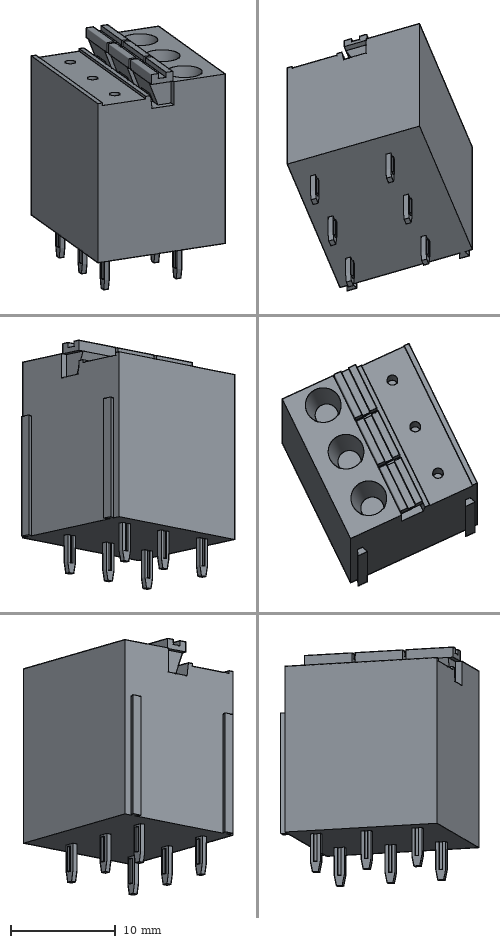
import cadquery as cq

POLE_COUNT = 3

HOUSING_WIDTH = 15.23
HOUSING_DEPTH = 13.4
HOUSING_HEIGHT = 17.15
FRONT_HEIGHT = 16.1
LIP_HEIGHT = 0.26
LIP_WIDTH = 0.5

SLOT_REAR_Y = 8.0
SLOT_FLOOR_Z = 14.8
SLOT_FLOOR_DEPTH = 2.3
SLOT_WALL_LEAN = 0.17

LEVER_TOP_Z = 18.15
LEVER_HEAD_WIDTH = 4.75
LEVER_STEM_WIDTH = 3.74
LEVER_STEM_FOOT_DEPTH = 1.38
LEVER_EDGE_RADIUS = 0.09
GROOVE_WIDTH = 0.8
GROOVE_DEPTH = 0.5
GROOVE_REAR_MARGIN = 0.75
TOE_DEPTH = 1.7
TOE_HEIGHT = 0.85
TOE_WIDTH = 1.95
TOE_OFFSET_X = -0.25

ENTRY_TOP_DIAMETER = 3.4
ENTRY_BOTTOM_DIAMETER = 2.2
ENTRY_DEPTH = 4.5
ENTRY_OFFSET_X = 0.3
ENTRY_TOP_Y = 10.12
ENTRY_BOTTOM_Y = 9.75

TEST_HOLE_DIAMETER = 1.0
TEST_HOLE_DEPTH = 2.0
TEST_HOLE_Y = 2.95

RIB_HEIGHT = 11.7
RIB_PROJECTION = 0.6
RIB_OUTER_WIDTH = 1.0
RIB_ROOT_WIDTH = 0.52
RIB_EDGE_DISTANCE = 1.0

PIN_LENGTH = 3.7
PIN_TAPER_LENGTH = 1.0
PIN_WIDTH = 1.0
PIN_TIP_WIDTH = 0.6
PIN_THICKNESS = 0.5
FRONT_PIN_Y = 1.64
PIN_ROW_SPACING = 7.63
PIN_GROOVE_WIDTH = 0.33
PIN_GROOVE_DEPTH = 0.15
PIN_GROOVE_LENGTH = 2.69
PIN_BEAD_TOP = 0.25

pole_pitch = HOUSING_WIDTH / POLE_COUNT
pole_xs = [(i + 0.5) * pole_pitch for i in range(POLE_COUNT)]
pin_ys = [FRONT_PIN_Y, FRONT_PIN_Y + PIN_ROW_SPACING]


def box(x_min, x_max, y_min, y_max, z_min, z_max):
    size = (x_max - x_min, y_max - y_min, z_max - z_min)
    return cq.Workplane("XY").box(*size, centered=False).translate((x_min, y_min, z_min))


def extrude_along_x(profile, center_x, width):
    """Extrude a (y, z) outline by `width`, centred on `center_x`."""
    plane = cq.Workplane("YZ", origin=(center_x - width / 2, 0, 0))
    return plane.polyline(profile).close().extrude(width)


def housing_block():
    tray_z = FRONT_HEIGHT - LIP_HEIGHT
    slot_front_y = SLOT_REAR_Y - SLOT_FLOOR_DEPTH
    lip_rear_y = slot_front_y - SLOT_WALL_LEAN
    lip_front_y = lip_rear_y - LIP_WIDTH
    profile = [
        (0, 0),
        (HOUSING_DEPTH, 0),
        (HOUSING_DEPTH, HOUSING_HEIGHT),
        (SLOT_REAR_Y, HOUSING_HEIGHT),
        (SLOT_REAR_Y, SLOT_FLOOR_Z),
        (slot_front_y, SLOT_FLOOR_Z),
        (lip_rear_y, FRONT_HEIGHT),
        (lip_front_y, FRONT_HEIGHT),
        (lip_front_y, tray_z),
        (LIP_WIDTH, tray_z),
        (LIP_WIDTH, FRONT_HEIGHT),
        (0, FRONT_HEIGHT),
    ]
    return extrude_along_x(profile, HOUSING_WIDTH / 2, HOUSING_WIDTH)


def wire_entry(pole_x):
    x = pole_x + ENTRY_OFFSET_X
    return (
        cq.Workplane("XY", origin=(x, ENTRY_TOP_Y, HOUSING_HEIGHT))
        .circle(ENTRY_TOP_DIAMETER / 2)
        .workplane(offset=-ENTRY_DEPTH)
        .center(0, ENTRY_BOTTOM_Y - ENTRY_TOP_Y)
        .circle(ENTRY_BOTTOM_DIAMETER / 2)
        .loft(ruled=True)
    )


def test_hole(pole_x):
    tray_z = FRONT_HEIGHT - LIP_HEIGHT
    plane = cq.Workplane("XY", origin=(pole_x, TEST_HOLE_Y, tray_z))
    return plane.circle(TEST_HOLE_DIAMETER / 2).extrude(-TEST_HOLE_DEPTH)


def dovetail_rib(center_y):
    profile = [
        (0, center_y - RIB_ROOT_WIDTH / 2),
        (0, center_y + RIB_ROOT_WIDTH / 2),
        (-RIB_PROJECTION, center_y + RIB_OUTER_WIDTH / 2),
        (-RIB_PROJECTION, center_y - RIB_OUTER_WIDTH / 2),
    ]
    return cq.Workplane("XY").polyline(profile).close().extrude(RIB_HEIGHT)


def solder_pin(pole_x, front_y):
    """Tapered flat pin with a pressed groove in front and the matching bead behind."""
    rear_y = front_y + PIN_THICKNESS
    taper_z = PIN_TAPER_LENGTH - PIN_LENGTH
    outline = [
        (-PIN_WIDTH / 2, 0),
        (PIN_WIDTH / 2, 0),
        (PIN_WIDTH / 2, taper_z),
        (PIN_TIP_WIDTH / 2, -PIN_LENGTH),
        (-PIN_TIP_WIDTH / 2, -PIN_LENGTH),
        (-PIN_WIDTH / 2, taper_z),
    ]
    blade = (
        cq.Workplane("XZ", origin=(pole_x, rear_y, 0))
        .polyline(outline)
        .close()
        .extrude(PIN_THICKNESS)
    )
    left = pole_x - PIN_GROOVE_WIDTH / 2
    right = pole_x + PIN_GROOVE_WIDTH / 2
    groove = box(left, right, front_y, front_y + PIN_GROOVE_DEPTH, -PIN_GROOVE_LENGTH, 0)
    bead = box(left, right, rear_y, rear_y + PIN_GROOVE_DEPTH, -PIN_GROOVE_LENGTH, -PIN_BEAD_TOP)
    return blade.cut(groove).union(bead)


def make_housing():
    housing = housing_block()
    for rib_y in (RIB_EDGE_DISTANCE, HOUSING_DEPTH - RIB_EDGE_DISTANCE):
        housing = housing.union(dovetail_rib(rib_y))
    for pole_x in pole_xs:
        housing = housing.cut(wire_entry(pole_x)).cut(test_hole(pole_x))
        for pin_y in pin_ys:
            housing = housing.union(solder_pin(pole_x, pin_y))
    return housing


def make_lever(pole_x):
    """Wide grooved head on a narrower, undercut stem with a small toe."""
    front_y = SLOT_REAR_Y - SLOT_FLOOR_DEPTH
    head = box(
        pole_x - LEVER_HEAD_WIDTH / 2, pole_x + LEVER_HEAD_WIDTH / 2,
        front_y, SLOT_REAR_Y,
        HOUSING_HEIGHT, LEVER_TOP_Z,
    )
    head = head.edges("|X and >Z").fillet(LEVER_EDGE_RADIUS)
    groove_rear_y = SLOT_REAR_Y - GROOVE_REAR_MARGIN
    groove = box(
        pole_x - LEVER_HEAD_WIDTH / 2, pole_x + LEVER_HEAD_WIDTH / 2,
        groove_rear_y - GROOVE_WIDTH, groove_rear_y,
        LEVER_TOP_Z - GROOVE_DEPTH, LEVER_TOP_Z,
    )
    stem_profile = [
        (SLOT_REAR_Y, HOUSING_HEIGHT),
        (SLOT_REAR_Y, SLOT_FLOOR_Z),
        (SLOT_REAR_Y - LEVER_STEM_FOOT_DEPTH, SLOT_FLOOR_Z),
        (front_y, HOUSING_HEIGHT),
    ]
    stem = extrude_along_x(stem_profile, pole_x, LEVER_STEM_WIDTH)
    toe_x = pole_x + TOE_OFFSET_X
    toe = box(
        toe_x - TOE_WIDTH / 2, toe_x + TOE_WIDTH / 2,
        SLOT_REAR_Y - TOE_DEPTH, SLOT_REAR_Y,
        SLOT_FLOOR_Z, SLOT_FLOOR_Z + TOE_HEIGHT,
    )
    return head.cut(groove).union(stem).union(toe)


housing = make_housing()
levers = [make_lever(pole_x) for pole_x in pole_xs]

result = cq.Compound.makeCompound([housing.val(), *[lever.val() for lever in levers]])